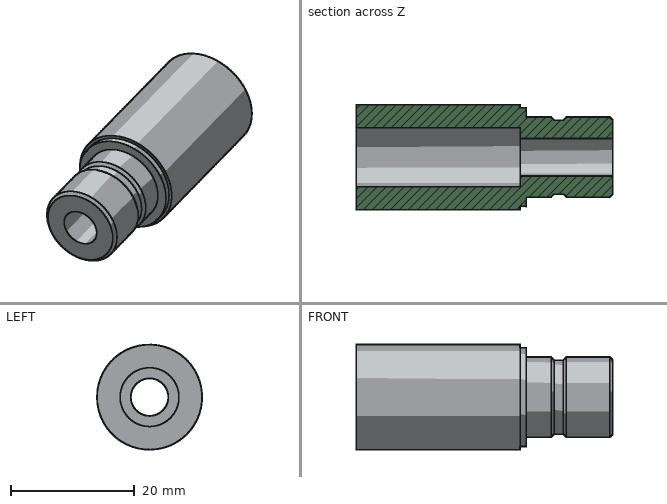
import cadquery as cq

total_length = 41.5

body_diameter = 17.0
body_length = 26.5

shoulder_diameter = 16.0
shoulder_length = 1.0

spigot_diameter = 13.0
spigot_land_length = 4.0

groove_diameter = 12.0
groove_floor_length = 1.5

bore_diameter = 6.0
counterbore_diameter = 9.5
counterbore_depth = body_length

bevel = (spigot_diameter - groove_diameter) / 2

shoulder_end = body_length + shoulder_length
groove_start = shoulder_end + spigot_land_length
groove_floor_start = groove_start + bevel
groove_floor_end = groove_floor_start + groove_floor_length
groove_end = groove_floor_end + bevel


def cylinder(diameter, start, end):
    """Solid cylinder on the X axis between two stations."""
    return cq.Workplane("YZ", origin=(start, 0, 0)).circle(diameter / 2).extrude(end - start)


def groove_cutter():
    """Ring with sloped flanks that is removed to form the spigot groove."""
    spigot_radius = spigot_diameter / 2
    floor_radius = groove_diameter / 2
    profile = [
        (groove_start, spigot_radius),
        (groove_floor_start, floor_radius),
        (groove_floor_end, floor_radius),
        (groove_end, spigot_radius),
    ]
    return cq.Workplane("XY").polyline(profile).close().revolve(360, (0, 0, 0), (1, 0, 0))


body = cylinder(body_diameter, 0, body_length)
shoulder = cylinder(shoulder_diameter, body_length, shoulder_end)
spigot = cylinder(spigot_diameter, shoulder_end, total_length).faces(">X").chamfer(bevel)
spigot = spigot.cut(groove_cutter())
result = body.union(shoulder).union(spigot)

result = result.cut(cylinder(bore_diameter, 0, total_length))
result = result.cut(cylinder(counterbore_diameter, 0, counterbore_depth))